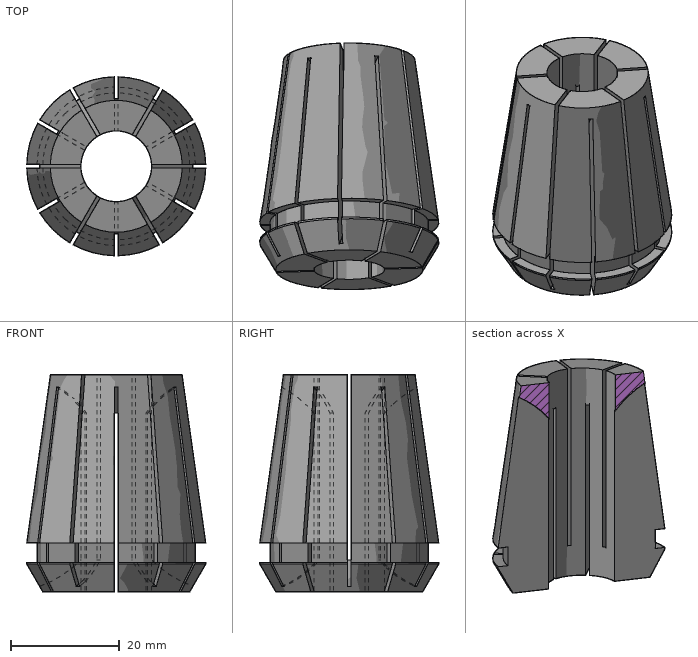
import cadquery as cq
import math

length = 40.0
max_radius = 33.0 / 2
bore_radius = 13.0 / 2
body_half_angle = 8.0
nose_half_angle = 30.0

nose_top = 5.1
lip_height = 0.3
lip_top = nose_top + lip_height
groove_width = 3.6
groove_top = lip_top + groove_width
groove_radius = 14.6

slots_per_end = 6
slot_pitch = 360.0 / slots_per_end
slot_width = 0.7
saw_radius = 20.0
top_slot_saw_centre = (20.8, 19.9)
bottom_slot_saw_centre = (21.75, 20.0)
slot_start = bore_radius / 2
slot_reach = max_radius + 2.0
end_clearance = 2.0


def collet_body():
    """Tapered, grooved body with a plain through bore."""
    top_radius = max_radius - (length - groove_top) * math.tan(math.radians(body_half_angle))
    base_radius = max_radius - nose_top * math.tan(math.radians(nose_half_angle))
    outline = [
        (bore_radius, 0),
        (base_radius, 0),
        (max_radius, nose_top),
        (max_radius, lip_top),
        (groove_radius, lip_top),
        (groove_radius, groove_top),
        (max_radius, groove_top),
        (top_radius, length),
        (bore_radius, length),
    ]
    return cq.Workplane("XZ").polyline(outline).close().revolve(360, (0, 0), (0, 1))


def slot_cutter(saw_centre, open_end, closed_side):
    """Radial slot along +X, ended by the saw arc; closed_side is -1 for a low end, +1 for a high end."""
    centre_distance, centre_height = saw_centre

    def arc_point(distance):
        rise = math.sqrt(saw_radius**2 - (centre_distance - distance) ** 2)
        return (distance, centre_height + closed_side * rise)

    return (
        cq.Workplane("XZ")
        .moveTo(slot_start, open_end)
        .lineTo(*arc_point(slot_start))
        .threePointArc(arc_point((slot_start + slot_reach) / 2), arc_point(slot_reach))
        .lineTo(slot_reach, open_end)
        .close()
        .extrude(slot_width / 2, both=True)
    )


top_slot = slot_cutter(top_slot_saw_centre, length + end_clearance, -1)
bottom_slot = slot_cutter(bottom_slot_saw_centre, -end_clearance, 1)

result = collet_body()
for index in range(slots_per_end):
    angle = index * slot_pitch
    result = result.cut(top_slot.rotate((0, 0, 0), (0, 0, 1), angle))
    result = result.cut(bottom_slot.rotate((0, 0, 0), (0, 0, 1), angle + slot_pitch / 2))